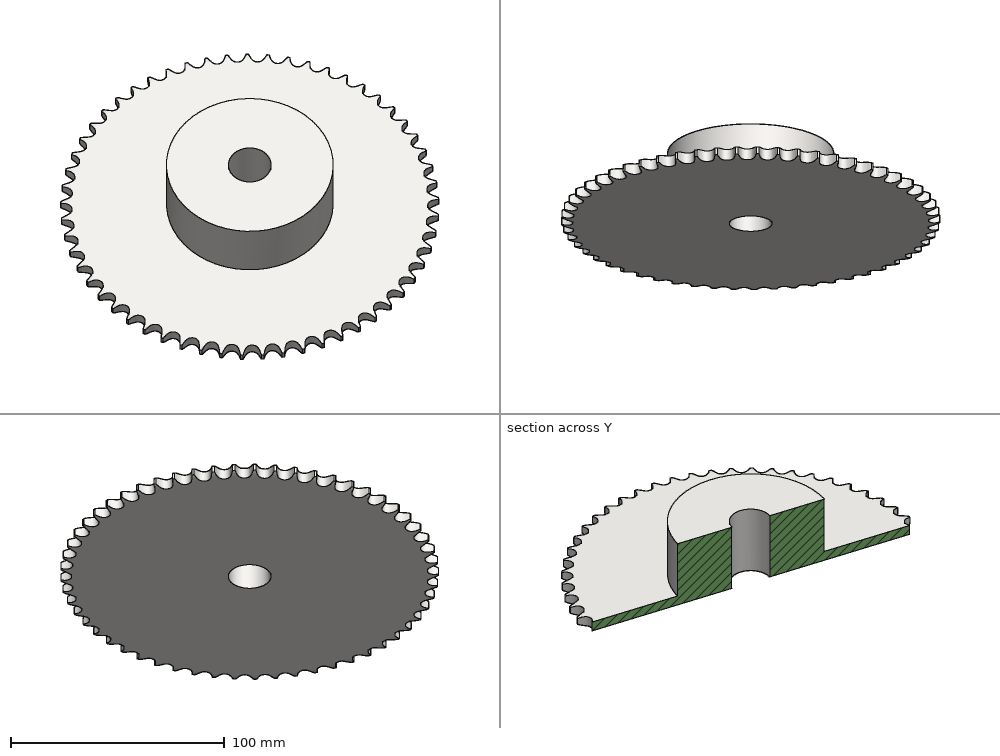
import cadquery as cq
import math

tooth_count = 57
tip_diameter = 176.9
root_diameter = 166.5
roller_seat_radius = 3.2
seat_end_angle = 36.0
working_radius = 8.3
working_angle = 17.0
straight_length = 0.94
topping_radius = 5.1
plate_thickness = 5.3
side_relief_radius = 10.0
side_relief_depth = 1.0
hub_diameter = 78.0
total_height = 35.0
bore_diameter = 20.0
cutter_overshoot = 0.9

tip_radius = tip_diameter / 2
side_relief_width = math.sqrt(side_relief_radius**2 - (side_relief_radius - side_relief_depth) ** 2)
flat_face_radius = tip_radius - side_relief_width
gap_pitch = 360 / tooth_count


def relieved_disc():
    """Toothless plate whose rim thins along an arc on both faces."""
    mid_angle = math.asin(side_relief_width / side_relief_radius) / 2
    mid_radius = flat_face_radius + side_relief_radius * math.sin(mid_angle)
    mid_drop = side_relief_radius * (1 - math.cos(mid_angle))
    return (
        cq.Workplane("XZ")
        .lineTo(flat_face_radius, 0)
        .threePointArc((mid_radius, mid_drop), (tip_radius, side_relief_depth))
        .lineTo(tip_radius, plate_thickness - side_relief_depth)
        .threePointArc((mid_radius, plate_thickness - mid_drop), (flat_face_radius, plate_thickness))
        .lineTo(0, plate_thickness)
        .close()
        .revolve(360, (0, 0, 0), (0, 1, 0))
    )


def polar_point(center, radius, angle):
    """Point on a circle, with the angle in radians measured from +X."""
    return (center[0] + radius * math.cos(angle), center[1] + radius * math.sin(angle))


def tooth_gap():
    """Cutter for the gap centred on +Y: roller seat, then working arc, straight and topping arc on each side."""
    seat_lean = math.radians(seat_end_angle)
    straight_lean = math.radians(seat_end_angle - working_angle)
    mean_lean = (seat_lean + straight_lean) / 2

    seat_center = (0, root_diameter / 2 + roller_seat_radius)
    seat_end = polar_point(seat_center, roller_seat_radius, -seat_lean)
    working_center = polar_point(seat_end, -working_radius, -seat_lean)
    working_mid = polar_point(working_center, working_radius, -mean_lean)
    working_end = polar_point(working_center, working_radius, -straight_lean)
    straight_end = polar_point(working_end, straight_length, math.pi / 2 - straight_lean)
    topping_center = polar_point(straight_end, topping_radius, -straight_lean)

    mouth_angle = math.pi - math.asin((tip_radius - topping_center[1]) / topping_radius)
    topping_mid_angle = (math.pi - straight_lean + mouth_angle) / 2
    topping_mid = polar_point(topping_center, topping_radius, topping_mid_angle)
    mouth = polar_point(topping_center, topping_radius, mouth_angle)
    cutter_corner = (mouth[0], tip_radius + cutter_overshoot)

    def mirrored(point):
        return (-point[0], point[1])

    return (
        cq.Workplane("XY")
        .moveTo(*mirrored(seat_end))
        .threePointArc((0, root_diameter / 2), seat_end)
        .threePointArc(working_mid, working_end)
        .lineTo(*straight_end)
        .threePointArc(topping_mid, mouth)
        .lineTo(*cutter_corner)
        .lineTo(*mirrored(cutter_corner))
        .lineTo(*mirrored(mouth))
        .threePointArc(mirrored(topping_mid), mirrored(straight_end))
        .lineTo(*mirrored(working_end))
        .threePointArc(mirrored(working_mid), mirrored(seat_end))
        .close()
        .extrude(plate_thickness)
    )


gap = tooth_gap().val()
gaps = [gap.rotate((0, 0, 0), (0, 0, 1), i * gap_pitch) for i in range(tooth_count)]
plate = relieved_disc().cut(cq.Workplane(cq.Compound.makeCompound(gaps)))

hub = cq.Workplane("XY").circle(hub_diameter / 2).extrude(total_height)
bore = cq.Workplane("XY").circle(bore_diameter / 2).extrude(total_height)

result = plate.union(hub).cut(bore)